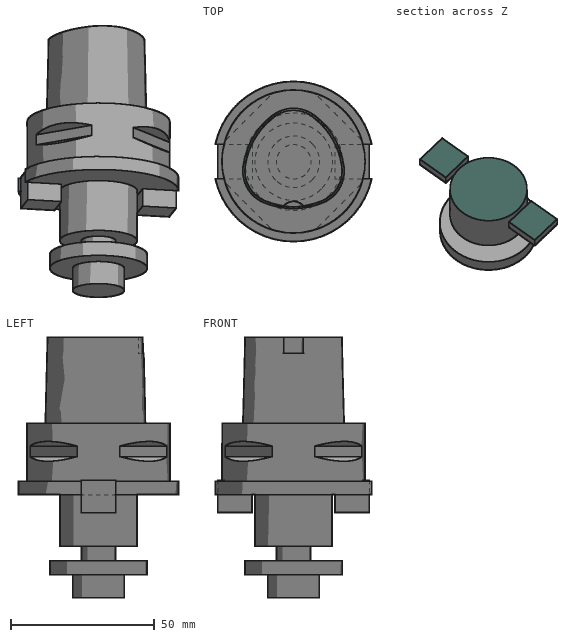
import cadquery as cq
import math

top_z = 91.0
shoulder_z = 61.0
flange_top_z = 40.8
flange_bottom_z = 36.0
pilot_bottom_z = 18.0
washer_top_z = 13.0
washer_bottom_z = 8.0

body_diameter = 50.0
flange_diameter = 56.0
pilot_diameter = 27.0
neck_diameter = 12.0
washer_diameter = 34.0
head_diameter = 18.0

lobe_center_distance = 6.55
side_center_distance = 10.3
lobe_top_radius = 11.3
shank_taper = 1 / 20
lobe_base_radius = lobe_top_radius + (top_z - shoulder_z) * shank_taper / 2

notch_diameter = 8.9
notch_inner_y = -13.9
notch_depth = 5.6

slot_z = 51.1
slot_floor_height = 3.6
slot_floor_distance = 22.1
slot_flank_angle = 30
slot_overrun = 1.8

key_width = 12.0
key_outer_x = 26.5
key_length = 12.0
key_top_z = flange_top_z + 0.3
key_bottom_z = 29.8


def disc(diameter, bottom_z, upper_z):
    """Upright cylinder between two heights."""
    return cq.Workplane("XY").workplane(offset=bottom_z).circle(diameter / 2).extrude(upper_z - bottom_z)


def polar(distance, angle):
    """Point at a distance from the axis, with the angle in degrees from +X."""
    return (distance * math.cos(math.radians(angle)), distance * math.sin(math.radians(angle)))


def shank_outline(height, lobe_radius):
    """Six tangent arcs with lobes at 90, 210 and 330 degrees."""
    lobe_x, lobe_y = polar(lobe_center_distance, -30)
    center_spacing = math.hypot(lobe_x, side_center_distance - lobe_y)
    side_radius = lobe_radius + center_spacing
    side_reach = side_radius - side_center_distance
    lobe_reach = lobe_center_distance + lobe_radius
    seam_x = side_radius * lobe_x / center_spacing
    seam_y = side_center_distance - side_radius * (side_center_distance - lobe_y) / center_spacing
    seam_distance = math.hypot(seam_x, seam_y)
    seam_offset = math.degrees(math.atan2(seam_x, -seam_y))

    outline = cq.Workplane("XY").workplane(offset=height).moveTo(*polar(seam_distance, -90 - seam_offset))
    for side_angle in (-90, 30, 150):
        lobe_angle = side_angle + 60
        next_side_angle = side_angle + 120
        outline = outline.threePointArc(
            polar(side_reach, side_angle), polar(seam_distance, side_angle + seam_offset)
        )
        outline = outline.threePointArc(
            polar(lobe_reach, lobe_angle), polar(seam_distance, next_side_angle - seam_offset)
        )
    return outline.close().val()


def make_shank():
    base = shank_outline(shoulder_z, lobe_base_radius)
    top = shank_outline(top_z, lobe_top_radius)
    shank = cq.Workplane(cq.Solid.makeLoft([base, top], True))
    notch = disc(notch_diameter, top_z - notch_depth, top_z)
    return shank.cut(notch.translate((0, notch_inner_y - notch_diameter / 2, 0)))


def make_slot_cutter():
    """Flat-bottomed V slot that opens outward along +X."""
    outer_x = body_diameter / 2 + slot_overrun
    half_floor = slot_floor_height / 2
    half_mouth = half_floor + (outer_x - slot_floor_distance) * math.tan(math.radians(slot_flank_angle))
    return (
        cq.Workplane("XZ")
        .moveTo(slot_floor_distance, slot_z - half_floor)
        .lineTo(outer_x, slot_z - half_mouth)
        .lineTo(outer_x, slot_z + half_mouth)
        .lineTo(slot_floor_distance, slot_z + half_floor)
        .close()
        .extrude(body_diameter / 2, both=True)
    )


def key_block(inner_x, outer_x, bottom_z, upper_z):
    """Block as wide as a key, on the +X side."""
    size = (outer_x - inner_x, key_width, upper_z - bottom_z)
    return cq.Workplane("XY").box(*size, centered=(False, True, False)).translate((inner_x, 0, bottom_z))


result = disc(body_diameter, flange_bottom_z, shoulder_z)
result = result.union(disc(flange_diameter, flange_bottom_z, flange_top_z))
result = result.union(disc(pilot_diameter, pilot_bottom_z, flange_bottom_z))
result = result.union(disc(neck_diameter, washer_top_z, pilot_bottom_z))
result = result.union(disc(washer_diameter, washer_bottom_z, washer_top_z))
result = result.union(disc(head_diameter, 0, washer_bottom_z))
result = result.union(make_shank())

slot_cutter = make_slot_cutter()
for slot_angle in (45, 135, 225, 315):
    result = result.cut(slot_cutter.rotate((0, 0, 0), (0, 0, 1), slot_angle))

keyway = key_block(key_outer_x, flange_diameter / 2, flange_bottom_z, flange_top_z)
key = key_block(key_outer_x - key_length, key_outer_x, key_bottom_z, key_top_z)
for key_angle in (0, 180):
    result = result.cut(keyway.rotate((0, 0, 0), (0, 0, 1), key_angle))
    result = result.union(key.rotate((0, 0, 0), (0, 0, 1), key_angle))